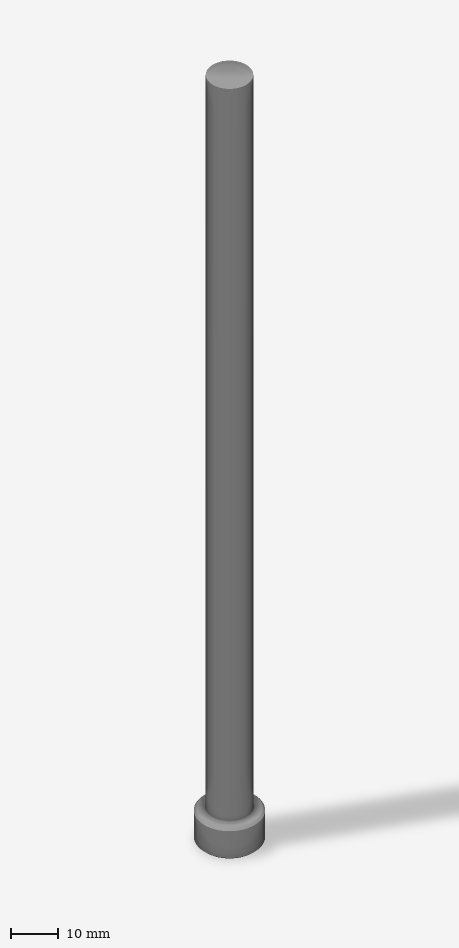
import cadquery as cq

total_length = 200.0
head_diameter = 15.0
head_height = 8.0
shank_diameter = 10.0
head_chamfer = 0.5
neck_fillet = 0.5

head = cq.Workplane("XY").circle(head_diameter / 2).extrude(head_height)
head = head.faces("<Z or >Z").edges().chamfer(head_chamfer)

shank = cq.Workplane("XY").circle(shank_diameter / 2).extrude(total_length)
pin = head.union(shank)

head_top = pin.faces(cq.selectors.NearestToPointSelector((0, 0, head_height)))
neck_edge = head_top.edges(cq.selectors.RadiusNthSelector(0))
result = neck_edge.fillet(neck_fillet)